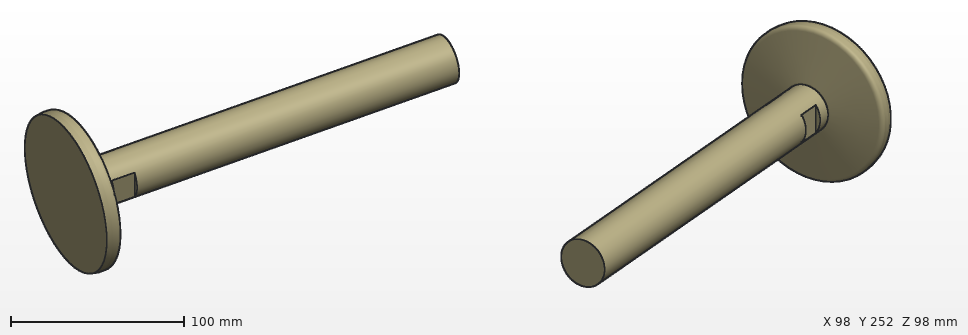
import cadquery as cq
import math

total_length = 252.0
foot_diameter = 98.0
stem_diameter = 30.0

face_diameter = 96.8
taper_height = 3.8
rim_top = 7.0
shoulder_radius = 3.0
ledge_diameter = 32.0
back_angle = math.radians(9.8)

flat_start = 23.7
flat_length = 15.0
across_flats = 24.0

ledge_radius = ledge_diameter / 2
foot_radius = foot_diameter / 2
stem_radius = stem_diameter / 2


def shoulder_point(angle):
    """Point on the rounded shoulder, at an angle measured from the radial direction."""
    return (
        foot_radius - shoulder_radius + shoulder_radius * math.cos(angle),
        rim_top + shoulder_radius * math.sin(angle),
    )


def turned_body():
    arc_span = math.pi / 2 - back_angle
    slope_start = shoulder_point(arc_span)
    slope_top = slope_start[1] + (slope_start[0] - ledge_radius) * math.tan(back_angle)
    return (
        cq.Workplane("XY")
        .moveTo(0, 0)
        .lineTo(face_diameter / 2, 0)
        .lineTo(foot_radius, taper_height)
        .lineTo(foot_radius, rim_top)
        .threePointArc(shoulder_point(arc_span / 2), slope_start)
        .lineTo(ledge_radius, slope_top)
        .lineTo(stem_radius, slope_top)
        .lineTo(stem_radius, total_length)
        .lineTo(0, total_length)
        .close()
        .revolve(360, (0, 0, 0), (0, 1, 0))
    )


def flat_cutter(side):
    """Block that removes the stem outside one flat; side is -1 or 1 along X."""
    cutter_size = stem_diameter
    return cq.Workplane("XY").box(cutter_size, flat_length, cutter_size).translate(
        (side * (across_flats + cutter_size) / 2, flat_start + flat_length / 2, 0)
    )


result = turned_body()
for side in (-1, 1):
    result = result.cut(flat_cutter(side))